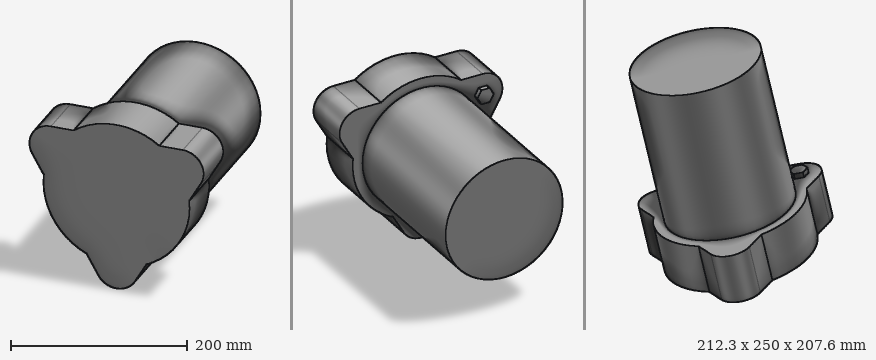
import cadquery as cq
import math

total_length = 250.0
flange_thickness = 60.0

barrel_diameter = 152.5

disc_radius = 89.0
lobe_radius = 25.8
lobe_distance = 92.8

hex_across_flats = 18.5
hex_height = 6.5
lobe_angles = (30, 150, 270)
hex_angle = 150


def polar(distance, angle):
    """Return the (x, z) point at an angle in degrees from +X."""
    a = math.radians(angle)
    return distance * math.cos(a), distance * math.sin(a)


def extrude_back(sketch, depth):
    """Extrude an XZ sketch toward +Y."""
    return sketch.extrude(-depth)


front = cq.Workplane("XZ")
flange_back = cq.Workplane("XZ", origin=(0, flange_thickness, 0))
lobe_centers = [polar(lobe_distance, angle) for angle in lobe_angles]


def make_flange():
    disc = extrude_back(front.circle(disc_radius), flange_thickness)
    triangle = extrude_back(front.polyline(lobe_centers).close().offset2D(lobe_radius), flange_thickness)
    return disc.union(triangle)


def make_barrel():
    return extrude_back(flange_back.circle(barrel_diameter / 2), total_length - flange_thickness)


def make_hex_boss():
    across_corners = hex_across_flats / math.cos(math.radians(30))
    outline = flange_back.center(*polar(lobe_distance, hex_angle)).polygon(6, across_corners)
    return extrude_back(outline, hex_height)


result = make_flange().union(make_barrel()).union(make_hex_boss())